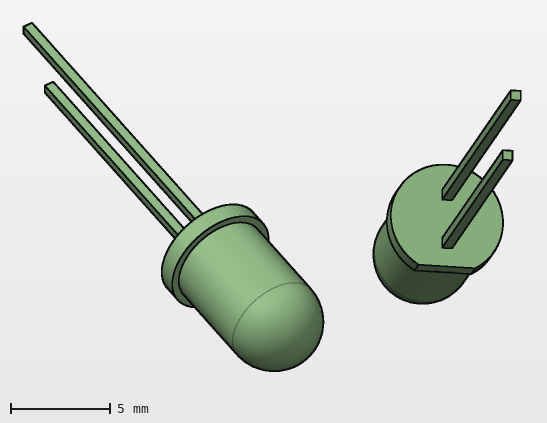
import cadquery as cq

total_length = 25.5
lens_diameter = 5.0
lens_radius = lens_diameter / 2
barrel_length = 5.0
flange_thickness = 1.0
flange_diameter = 5.8
flange_radius = flange_diameter / 2
flat_depth = lens_radius

lead_width = 0.5
lead_pitch = 2.55
short_lead_setback = 2.0

barrel_end = flange_thickness + barrel_length
dome_tip = barrel_end + lens_radius
long_lead_length = total_length - dome_tip
short_lead_length = long_lead_length - short_lead_setback


def make_flange():
    """Disc with a flat cut along its -Z side."""
    disc = cq.Workplane("YZ").circle(flange_radius).extrude(flange_thickness)
    kept_height = flange_radius + flat_depth
    kept = (
        cq.Workplane("XY")
        .workplane(offset=-flat_depth)
        .box(flange_thickness, flange_diameter, kept_height, centered=(False, True, False))
    )
    return disc.intersect(kept)


def make_lens():
    """Round barrel closed by a hemispherical dome, revolved about X."""
    arc_mid = lens_radius * 0.5 ** 0.5
    return (
        cq.Workplane("XY")
        .moveTo(flange_thickness, 0)
        .lineTo(flange_thickness, lens_radius)
        .lineTo(barrel_end, lens_radius)
        .threePointArc((barrel_end + arc_mid, arc_mid), (dome_tip, 0))
        .close()
        .revolve(360, (0, 0, 0), (1, 0, 0))
    )


def make_lead(length, z):
    """Square wire ending at the back of the flange."""
    return cq.Workplane("YZ").center(0, z).rect(lead_width, lead_width).extrude(-length)


def make_base():
    """Flange and its two leads as one solid."""
    long_lead = make_lead(long_lead_length, lead_pitch / 2)
    short_lead = make_lead(short_lead_length, -lead_pitch / 2)
    return make_flange().union(long_lead).union(short_lead)


base = make_base()
lens = make_lens()

result = cq.Compound.makeCompound([base.solids().val(), lens.val()])